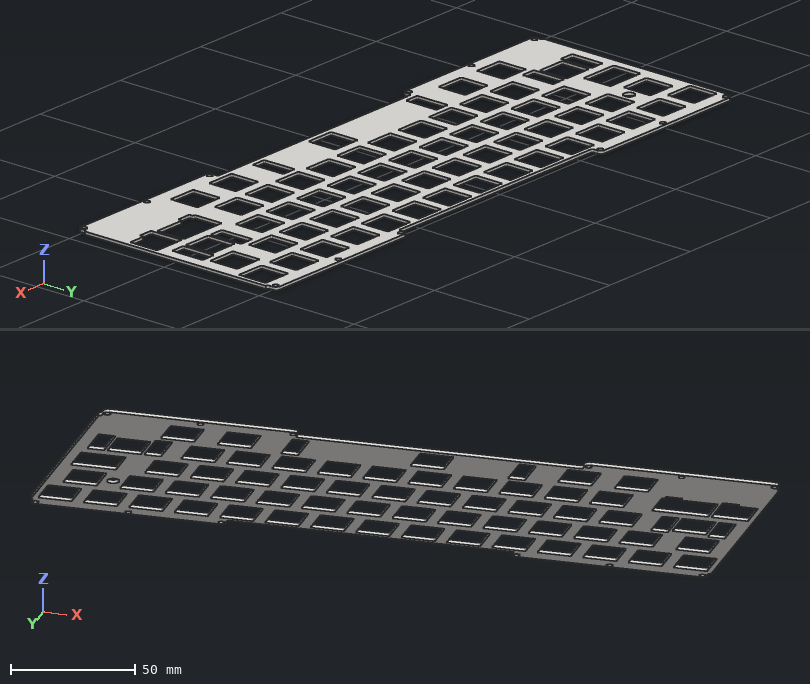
import cadquery as cq
import math

unit = 19.05
columns = 15
rows = 5
thickness = 1.5
plate_length = columns * unit
plate_width = rows * unit

grid_y = 0.235

tolerance = 0.01

overall_width = 104.72
tab_centre_x = 101.0
tab_length = 81.6
tab_corner_radius = 2.0
tab_root_radius = 0.9

screw_diameter = 2.5
screw_spacing = 39.0
screw_y = 50.4

reset_diameter = 5.0
reset_x = -6.125 * unit

switch_size = 14.0
cutout_corner_radius = 0.5
stabilizer_width = 7.0
stabilizer_reach = 9.0
short_stabilizer_offset = 11.938
space_stabilizer_offset = 2.5 * unit

number_row = 2
tab_row = 1
home_row = 0
shift_row = -1
space_row = -2

caps_lock_positions = (-6.875, -6.625)
enter_position = 6.375
left_shift_position = -6.375
long_right_shift_position = 6.125
short_right_shift_position = 5.625
function_position = 7
space_position = -0.5


def key_run(first, count):
    """Centres of neighbouring one-unit keys."""
    return [first + index for index in range(count)]


def row_y(row):
    """Centre of a key row along Y."""
    return grid_y + row * unit


switch_rows = {
    number_row: key_run(-7, 15),
    tab_row: [-6.75, *key_run(-5.5, 12), 6.75],
    home_row: [*caps_lock_positions, *key_run(-5.25, 11), enter_position],
    shift_row: [
        left_shift_position,
        *key_run(-4.75, 10),
        short_right_shift_position,
        long_right_shift_position,
        function_position,
    ],
    space_row: [-5.5, -4.25, 0, 3.25, 4.5],
}

stabilizers = (
    (left_shift_position, shift_row, short_stabilizer_offset, -1),
    (long_right_shift_position, shift_row, short_stabilizer_offset, -1),
    (enter_position, home_row, short_stabilizer_offset, 1),
    (space_position, space_row, space_stabilizer_offset, 1),
)


def box(x_min, x_max, y_min, y_max):
    """Block through the plate thickness between the given limits."""
    block = cq.Workplane("XY").box(x_max - x_min, y_max - y_min, thickness, centered=False)
    return block.translate((x_min, y_min, 0))


def is_tab_root(edge):
    """True for the inside corners where a tab side meets the main rectangle."""
    centre = edge.Center()
    on_long_side = math.isclose(abs(centre.y), plate_width / 2, abs_tol=tolerance)
    return on_long_side and abs(centre.x) < plate_length / 2 - tolerance


def plate_blank():
    """Main rectangle with four mounting tabs, rounded at corners and roots."""
    blank = box(-plate_length / 2, plate_length / 2, -plate_width / 2, plate_width / 2)
    for side in (-1, 1):
        x_min = side * tab_centre_x - tab_length / 2
        strip = box(x_min, x_min + tab_length, -overall_width / 2, overall_width / 2)
        blank = blank.union(strip.edges("|Z").fillet(tab_corner_radius))
    return blank.edges("|Z").filter(is_tab_root).fillet(tab_root_radius)


def switch_cutouts():
    """Square opening for every key position; overlapping ones merge."""
    centres = [(x * unit, row_y(row)) for row, keys in switch_rows.items() for x in keys]
    return cq.Workplane("XY").pushPoints(centres).rect(switch_size, switch_size).extrude(thickness)


def stabilizer_cutouts(position, row, offset, direction):
    """Pair of slots beside a wide key, flush with the switch on one side.

    The direction is +1 when the slots reach further back, -1 when further forward.
    """
    near = row_y(row) - direction * switch_size / 2
    far = row_y(row) + direction * stabilizer_reach
    y_min, y_max = sorted((near, far))
    left, right = (
        box(x - stabilizer_width / 2, x + stabilizer_width / 2, y_min, y_max)
        for x in (position * unit - offset, position * unit + offset)
    )
    return left.union(right)


def key_cutouts():
    """All switch and stabilizer openings, merged and with rounded corners."""
    cutouts = switch_cutouts()
    for stabilizer in stabilizers:
        cutouts = cutouts.union(stabilizer_cutouts(*stabilizer))
    return cutouts.edges("|Z").fillet(cutout_corner_radius)


def round_holes():
    """Screw holes in the tabs and the reset button hole."""
    centres = [
        (x_side * tab_centre_x + step * screw_spacing, y_side * screw_y)
        for x_side in (-1, 1)
        for y_side in (-1, 1)
        for step in (-1, 0, 1)
    ]
    screws = cq.Workplane("XY").pushPoints(centres).circle(screw_diameter / 2).extrude(thickness)
    reset_centre = (reset_x, row_y(tab_row))
    reset = cq.Workplane("XY").center(*reset_centre).circle(reset_diameter / 2).extrude(thickness)
    return screws.union(reset)


result = plate_blank().cut(key_cutouts()).cut(round_holes())